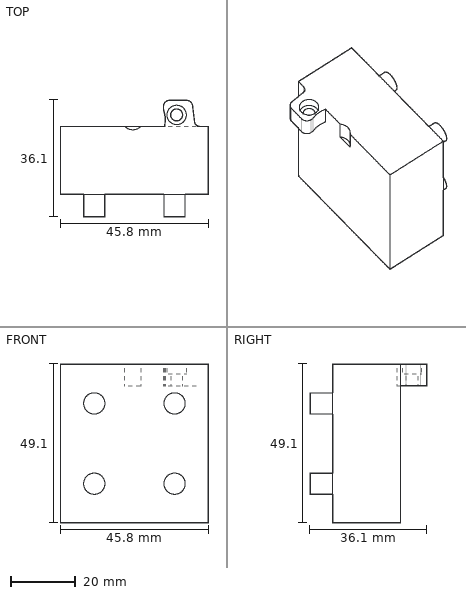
import cadquery as cq

width = 45.8
depth = 21.0
height = 49.1

pin_diameter = 6.6
pin_length = 7.0
pin_spacing = 24.85

lug_reach = 8.1
lug_thickness = 6.7
lug_left = 8.95
lug_root_left = 9.35
lug_waist = (9.55, 2.35)
lug_waist_top = 5.3
lug_corner_radius = 2.0
lug_right_top = 18.05
lug_right_bottom = 18.6
root_fillet_radius = 1.6

hole_x = 13.05
hole_y = 3.55
hole_diameter = 3.65
counterbore_diameter = 6.0
counterbore_depth = 3.1

notch_x = -0.5
notch_width = 5.0
notch_depth = 1.1
notch_height = lug_thickness

top = height / 2
lug_bottom = top - lug_thickness


def make_block():
    return cq.Workplane("XY").box(width, depth, height).translate((0, -depth / 2, 0))


def make_pins():
    return (
        cq.Workplane("XZ", origin=(0, -depth, 0))
        .rarray(pin_spacing, pin_spacing, 2, 2)
        .circle(pin_diameter / 2)
        .extrude(pin_length)
    )


def make_lug():
    corner_y = lug_reach - lug_corner_radius
    return (
        cq.Workplane("XY", origin=(0, 0, lug_bottom))
        .moveTo(lug_root_left, 0)
        .spline([lug_waist, (lug_left, lug_waist_top)], includeCurrent=True)
        .lineTo(lug_left, corner_y)
        .radiusArc((lug_left + lug_corner_radius, lug_reach), lug_corner_radius)
        .lineTo(lug_right_top - lug_corner_radius, lug_reach)
        .radiusArc((lug_right_top, corner_y), lug_corner_radius)
        .lineTo(lug_right_bottom, root_fillet_radius)
        .radiusArc((lug_right_bottom + root_fillet_radius, 0), -root_fillet_radius)
        .close()
        .extrude(lug_thickness)
    )


def cut_screw_hole(body):
    return (
        body.faces(">Z")
        .workplane(origin=(hole_x, hole_y, top))
        .cboreHole(hole_diameter, counterbore_diameter, counterbore_depth, lug_thickness)
    )


def make_notch():
    return (
        cq.Workplane("XY", origin=(0, 0, top - notch_height))
        .moveTo(notch_x - notch_width / 2, 0)
        .threePointArc((notch_x, -notch_depth), (notch_x + notch_width / 2, 0))
        .close()
        .extrude(notch_height)
    )


result = make_block().union(make_pins()).union(make_lug())
result = cut_screw_hole(result).cut(make_notch())